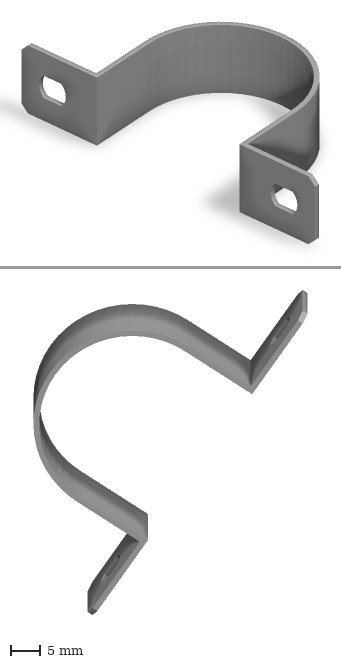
import cadquery as cq

thickness = 1.0
strap_width = 14.0
inner_radius = 16.0
overall_length = 66.0
arch_center_height = 14.0
corner_chamfer = 1.5
hole_spacing = 52.0
hole_diameter = 6.0
hole_across_flats = 4.6

outer_radius = inner_radius + thickness
half_length = overall_length / 2


def make_strap():
    """Arch, straight legs and flat feet, extruded along Z and centred on it."""
    return (
        cq.Workplane("XY")
        .moveTo(-half_length, 0)
        .lineTo(-inner_radius, 0)
        .lineTo(-inner_radius, arch_center_height)
        .threePointArc((0, arch_center_height + inner_radius), (inner_radius, arch_center_height))
        .lineTo(inner_radius, 0)
        .lineTo(half_length, 0)
        .lineTo(half_length, thickness)
        .lineTo(outer_radius, thickness)
        .lineTo(outer_radius, arch_center_height)
        .threePointArc((0, arch_center_height + outer_radius), (-outer_radius, arch_center_height))
        .lineTo(-outer_radius, thickness)
        .lineTo(-half_length, thickness)
        .close()
        .extrude(strap_width / 2, both=True)
    )


def chamfer_feet(strap):
    """Bevel the four outer corners of the feet."""
    return strap.faces("<X or >X").edges("|Y").chamfer(corner_chamfer)


def make_hole_cutter(center_x):
    """Round hole with flats above and below, passing through one foot along Y."""
    cylinder = (
        cq.Workplane("XZ")
        .center(center_x, 0)
        .circle(hole_diameter / 2)
        .extrude(-thickness)
    )
    flats = (
        cq.Workplane("XZ")
        .center(center_x, 0)
        .rect(hole_diameter, hole_across_flats)
        .extrude(-thickness)
    )
    return cylinder.intersect(flats)


result = chamfer_feet(make_strap())
for side in (-1, 1):
    result = result.cut(make_hole_cutter(side * hole_spacing / 2))